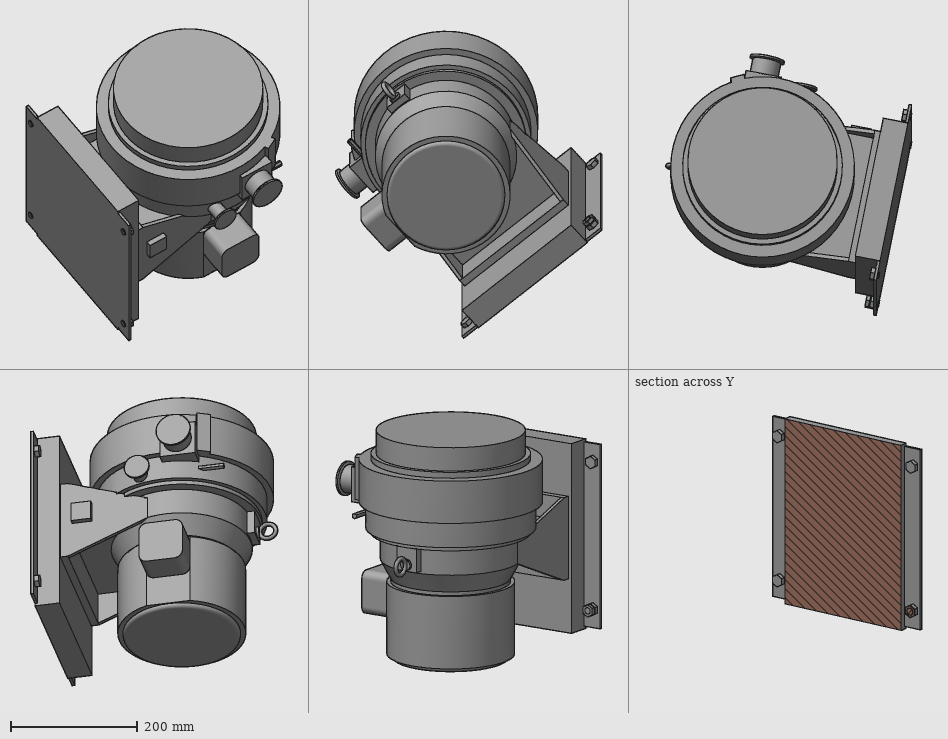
import cadquery as cq
import math


overall_height = 373.0
foot_radius = 93.3
motor_radius = 101.5
groove_radius = 95.0
neck_radius = 112.0
shoulder_radius = 127.5
rotor_radius = 135.0
flange_radius = 145.5
collar_radius = 126.5
inlet_radius = 118.3

motor_bottom_z = 8.0
motor_top_z = 126.0
cone_bottom_z = 132.0
neck_bottom_z = 163.5
neck_top_z = 207.0
rotor_bottom_z = 214.0
flange_bottom_z = 256.5
flange_top_z = 325.5
collar_top_z = 335.0
foot_fillet = 5.5

motor_flat_x = 95.0
connector_end_x = 147.0
connector_z = 93.3
connector_size = 2 * math.sqrt(motor_radius**2 - motor_flat_x**2)
connector_corner_radius = 12.5

rim_thickness = 3.5
rim_taper_length = 1.5
rim_taper_step = 4.5
port_root_x = 74.5

exhaust_y = 28.5
exhaust_z = 274.2
exhaust_radius = 22.8
exhaust_rim_radius = 27.5
exhaust_end_x = 182.5
exhaust_block_size = 57.0
exhaust_block_end_x = 152.0

purge_y = -36.5
purge_z = 228.7
purge_radius = 11.5
purge_rim_radius = 20.0
purge_end_x = 159.0

pad_angle = 26.5
pad_width = 22.0
pad_face_distance = 152.0
fitting_x = 119.0
fitting_z = 235.0
fitting_across_flats = 8.0
fitting_end_y = 96.3
fitting_root_y = 44.8

bracket_half_width = 108.0
cheek_thickness = 6.0
bracket_back_y = -172.5
bracket_slope_y = -160.0
bracket_top_z = 244.5
bracket_bottom_z = 109.7
cheek_tip_y = -30.2
cheek_tip_top_z = 199.5
socket_end_x = 116.8
socket_size = 32.0
socket_y = -137.0
socket_z = (neck_bottom_z + neck_top_z) / 2

base_half_width = 113.5
base_bottom_z = 21.3
base_top_z = 331.0
base_front_y = -212.3
plate_half_width = 144.0
plate_thickness = 4.5
plate_inset = 4.5

bolt_x = 130.2
bolt_bottom_z = 56.5
bolt_top_z = 297.0
bolt_radius = 5.2
bolt_tip = 2.0
hex_across_flats = 18.0
bolt_head_height = 7.5
nut_gap = 1.5
nut_height = 6.0

boss_face_y = 122.7
boss_bottom_z = 167.0
boss_width = 37.3
eye_y = 140.0
eye_z = 178.0
eye_outer_radius = 16.5
eye_wire_radius = 3.5
eye_collar_radius = 9.0
eye_shank_radius = 4.5
eye_shank_depth = 11.2

eye_ring_radius = eye_outer_radius - eye_wire_radius
plate_back_y = base_front_y + plate_thickness
bolt_tip_y = base_front_y - bolt_tip
nut_bottom_y = plate_back_y + bolt_head_height + nut_gap
bolt_places = [(x, z) for x in (-bolt_x, bolt_x) for z in (bolt_bottom_z, bolt_top_z)]
earth_place = (-bolt_x, bolt_bottom_z)


def cylinder_y(y_start, y_end, radius, x, z):
    """Cylinder along +Y."""
    return cq.Workplane("XZ", origin=(x, y_start, z)).circle(radius).extrude(y_start - y_end)


def hexagon_y(y_start, y_end, across_flats, x, z):
    """Hexagonal prism along +Y with one corner pointing up."""
    corner_diameter = across_flats / math.cos(math.pi / 6)
    outline = cq.Workplane("XZ", origin=(x, y_start, z)).transformed(rotate=(0, 0, 90))
    return outline.polygon(6, corner_diameter).extrude(y_start - y_end)


def block(x_range, y_range, z_range):
    """Box between the given limits."""
    size = [high - low for low, high in (x_range, y_range, z_range)]
    corner = (x_range[0], y_range[0], z_range[0])
    return cq.Workplane("XY").box(*size, centered=False).translate(corner)


def make_casing():
    """Stepped round casing, with a flat cut along the +X side of the motor stage."""
    profile = [
        (0, motor_bottom_z),
        (motor_radius, motor_bottom_z),
        (motor_radius, motor_top_z),
        (groove_radius, motor_top_z),
        (groove_radius, cone_bottom_z),
        (neck_radius, neck_bottom_z),
        (neck_radius, neck_top_z),
        (shoulder_radius, neck_top_z),
        (shoulder_radius, rotor_bottom_z),
        (rotor_radius, rotor_bottom_z),
        (rotor_radius, flange_bottom_z),
        (flange_radius, flange_bottom_z),
        (flange_radius, flange_top_z),
        (collar_radius, flange_top_z),
        (collar_radius, collar_top_z),
        (inlet_radius, collar_top_z),
        (inlet_radius, overall_height),
        (0, overall_height),
    ]
    casing = cq.Workplane("XZ").polyline(profile).close().revolve(360, (0, 0), (0, 1))
    flat_cut = block(
        (motor_flat_x, motor_radius),
        (-motor_radius, motor_radius),
        (motor_bottom_z, motor_top_z),
    )
    foot = cq.Workplane("XY").circle(foot_radius).extrude(motor_bottom_z)
    foot = foot.faces("<Z").edges().fillet(foot_fillet)
    return casing.cut(flat_cut).union(foot)


def make_connector():
    """Square power connector with rounded corners, standing on the motor flat."""
    half = connector_size / 2
    connector = block(
        (motor_flat_x, connector_end_x),
        (-half, half),
        (connector_z - half, connector_z + half),
    )
    return connector.edges("|X").fillet(connector_corner_radius)


def make_port(end_x, pipe_radius, rim_radius, y, z):
    """Pipe along +X that ends in a thin rim with a tapered back."""
    rim_x = end_x - rim_thickness
    taper_x = rim_x - rim_taper_length
    profile = [
        (port_root_x, 0),
        (port_root_x, pipe_radius),
        (taper_x, pipe_radius),
        (taper_x, rim_radius - rim_taper_step),
        (rim_x, rim_radius),
        (end_x, rim_radius),
        (end_x, 0),
    ]
    port = cq.Workplane("XY").polyline(profile).close().revolve(360, (0, 0), (1, 0))
    return port.translate((0, y, z))


def make_exhaust_block():
    """Square block that carries the exhaust port."""
    half = exhaust_block_size / 2
    return block(
        (port_root_x, exhaust_block_end_x),
        (exhaust_y - half, exhaust_y + half),
        (exhaust_z - half, exhaust_z + half),
    )


def make_flange_pad():
    """Flat-faced pad on the rim of the large flange, as tall as the flange."""
    pad = block(
        (port_root_x, pad_face_distance),
        (-pad_width / 2, pad_width / 2),
        (flange_bottom_z, flange_top_z),
    )
    return pad.rotate((0, 0, 0), (0, 0, 1), pad_angle)


def make_fitting():
    """Small hexagonal fitting along +Y on the side of the rotor stage."""
    return hexagon_y(fitting_root_y, fitting_end_y, fitting_across_flats, fitting_x, fitting_z)


def make_boss():
    """Block on the back of the neck that carries the eyebolt."""
    return block(
        (-boss_width / 2, boss_width / 2),
        (0, boss_face_y),
        (boss_bottom_z, neck_top_z),
    )


def make_bracket():
    """Two tapered cheeks, a back wall and a web, all running into the neck."""
    cheek_outline = [
        (bracket_back_y, bracket_bottom_z),
        (bracket_slope_y, bracket_bottom_z),
        (cheek_tip_y, neck_bottom_z),
        (cheek_tip_y, cheek_tip_top_z),
        (bracket_slope_y, bracket_top_z),
        (bracket_back_y, bracket_top_z),
    ]
    cheek = (
        cq.Workplane("YZ", origin=(bracket_half_width - cheek_thickness, 0, 0))
        .polyline(cheek_outline)
        .close()
        .extrude(cheek_thickness)
    )
    full_width = (-bracket_half_width, bracket_half_width)
    wall = block(full_width, (bracket_back_y, bracket_slope_y), (bracket_bottom_z, bracket_top_z))
    inner_half_width = bracket_half_width - cheek_thickness
    web = block(
        (-inner_half_width, inner_half_width),
        (bracket_back_y, cheek_tip_y),
        (neck_bottom_z, neck_top_z),
    )
    half_socket = socket_size / 2
    socket = block(
        (inner_half_width, socket_end_x),
        (socket_y - half_socket, socket_y + half_socket),
        (socket_z - half_socket, socket_z + half_socket),
    )
    return wall.union(web).union(cheek).union(cheek.mirror("YZ")).union(socket)


def make_eye_shank():
    """Shank of the eyebolt, as deep as its hole in the boss."""
    return cylinder_y(boss_face_y - eye_shank_depth, boss_face_y, eye_shank_radius, 0, eye_z)


def make_pump():
    """Casing with its bracket, ports and fittings."""
    pump = make_casing()
    features = [
        make_bracket(),
        make_connector(),
        make_exhaust_block(),
        make_port(exhaust_end_x, exhaust_radius, exhaust_rim_radius, exhaust_y, exhaust_z),
        make_port(purge_end_x, purge_radius, purge_rim_radius, purge_y, purge_z),
        make_flange_pad(),
        make_fitting(),
        make_boss(),
    ]
    for feature in features:
        pump = pump.union(feature)
    return pump.cut(make_eye_shank())


def make_base():
    """Box with a wider plate flush with its front, drilled for the four bolts."""
    box = block(
        (-base_half_width, base_half_width),
        (base_front_y, bracket_back_y),
        (base_bottom_z, base_top_z),
    )
    plate = block(
        (-plate_half_width, plate_half_width),
        (base_front_y, plate_back_y),
        (base_bottom_z + plate_inset, base_top_z - plate_inset),
    )
    base = box.union(plate)
    for x, z in bolt_places:
        base = base.cut(cylinder_y(base_front_y, plate_back_y, bolt_radius, x, z))
    return base


def make_bolt(x, z):
    """Hexagon-headed bolt through the plate, its tip standing out in front."""
    shank = cylinder_y(bolt_tip_y, plate_back_y, bolt_radius, x, z)
    head = hexagon_y(plate_back_y, plate_back_y + bolt_head_height, hex_across_flats, x, z)
    return shank.union(head)


def make_earth_stud(x, z):
    """Threaded end behind a bolt head that carries the earth nut."""
    return cylinder_y(plate_back_y, nut_bottom_y + nut_height, bolt_radius, x, z)


def make_earth_nut(x, z):
    """Hexagon nut on the earth stud."""
    nut = hexagon_y(nut_bottom_y, nut_bottom_y + nut_height, hex_across_flats, x, z)
    return nut.cut(make_earth_stud(x, z))


def make_eyebolt():
    """Upright ring with a collar on the boss and a shank inside it."""
    ring = cq.Workplane(cq.Solid.makeTorus(
        eye_ring_radius, eye_wire_radius, cq.Vector(0, eye_y, eye_z), cq.Vector(1, 0, 0)
    ))
    collar = cylinder_y(boss_face_y, eye_y - eye_ring_radius, eye_collar_radius, 0, eye_z)
    return ring.union(collar).union(make_eye_shank())


pump = make_pump()
base = make_base()
eyebolt = make_eyebolt()
earth_nut = make_earth_nut(*earth_place)

bolts = []
for place in bolt_places:
    bolt = make_bolt(*place)
    if place == earth_place:
        bolt = bolt.union(make_earth_stud(*place))
    bolts.append(bolt.val())

result = cq.Compound.makeCompound([pump.val(), base.val(), eyebolt.val(), earth_nut.val(), *bolts])